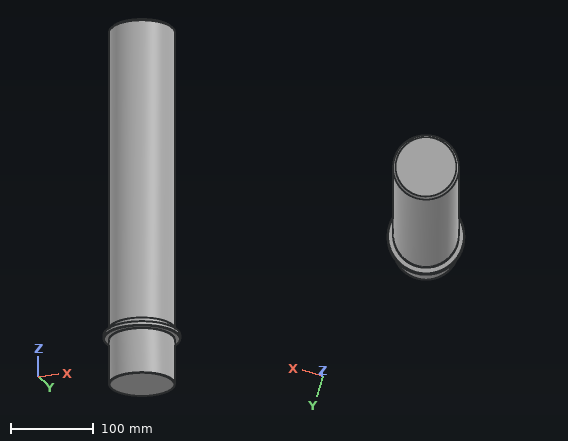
import cadquery as cq

post_height = 459.0
post_diameter = 80.0
top_chamfer = 3.0
bottom_chamfer = 1.0

neck_bottom = 58.0
neck_top = 71.5
neck_depth = 1.0

collar_diameter = 93.0
collar_bottom = 58.8
collar_thickness = 6.0
collar_chamfer = 1.0


def disc(diameter, bottom, height):
    """Upright cylinder on the Z axis, starting at the given height."""
    return cq.Workplane("XY", origin=(0, 0, bottom)).circle(diameter / 2).extrude(height)


post = disc(post_diameter, 0, post_height)
post = post.faces(">Z").chamfer(top_chamfer)
post = post.faces("<Z").chamfer(bottom_chamfer)

neck_height = neck_top - neck_bottom
neck_diameter = post_diameter - 2 * neck_depth
neck_core = disc(neck_diameter, neck_bottom, neck_height)
neck_cut = disc(collar_diameter, neck_bottom, neck_height).cut(neck_core)

collar = disc(collar_diameter, collar_bottom, collar_thickness)
collar = collar.faces("<Z or >Z").chamfer(collar_chamfer)
result = post.cut(neck_cut).union(collar)